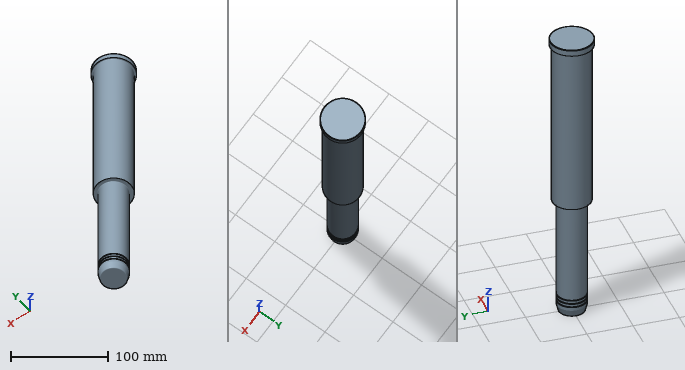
import cadquery as cq

total_height = 331.0
head_height = 7.0
shank_bottom = 135.0
taper_height = 8.0

head_radius = 23.5
shank_radius = 21.2
pin_radius = 16.2
tip_radius = 14.2

head_chamfer = 0.5
root_fillet = 0.5
tip_fillet = 1.0

groove_count = 3
groove_pitch = 4.0
groove_width = 1.0
groove_depth = 0.15
lowest_groove_center = 12.5


def cylinder(radius, bottom, top):
    """Solid cylinder on the Z axis between two heights."""
    return cq.Workplane("XY").workplane(offset=bottom).circle(radius).extrude(top - bottom)


def make_body():
    """Revolve the stepped profile, with rounded step roots and tip."""
    head_bottom = total_height - head_height
    profile = (
        cq.Workplane("XZ")
        .moveTo(0, 0)
        .lineTo(tip_radius, 0)
        .lineTo(pin_radius, taper_height)
        .lineTo(pin_radius, shank_bottom - root_fillet)
        .radiusArc((pin_radius + root_fillet, shank_bottom), root_fillet)
        .lineTo(shank_radius, shank_bottom)
        .lineTo(shank_radius, head_bottom - root_fillet)
        .radiusArc((shank_radius + root_fillet, head_bottom), root_fillet)
        .lineTo(head_radius, head_bottom)
        .lineTo(head_radius, total_height)
        .lineTo(0, total_height)
        .close()
    )
    body = profile.revolve(360, (0, 0, 0), (0, 1, 0))
    return body.faces(">Z").edges().chamfer(head_chamfer).faces("<Z").edges().fillet(tip_fillet)


def groove_ring(center):
    """Ring of material removed from the pin at one groove."""
    bottom = center - groove_width / 2
    top = center + groove_width / 2
    return cylinder(pin_radius + groove_depth, bottom, top).cut(
        cylinder(pin_radius - groove_depth, bottom, top)
    )


result = make_body()
for index in range(groove_count):
    result = result.cut(groove_ring(lowest_groove_center + index * groove_pitch))